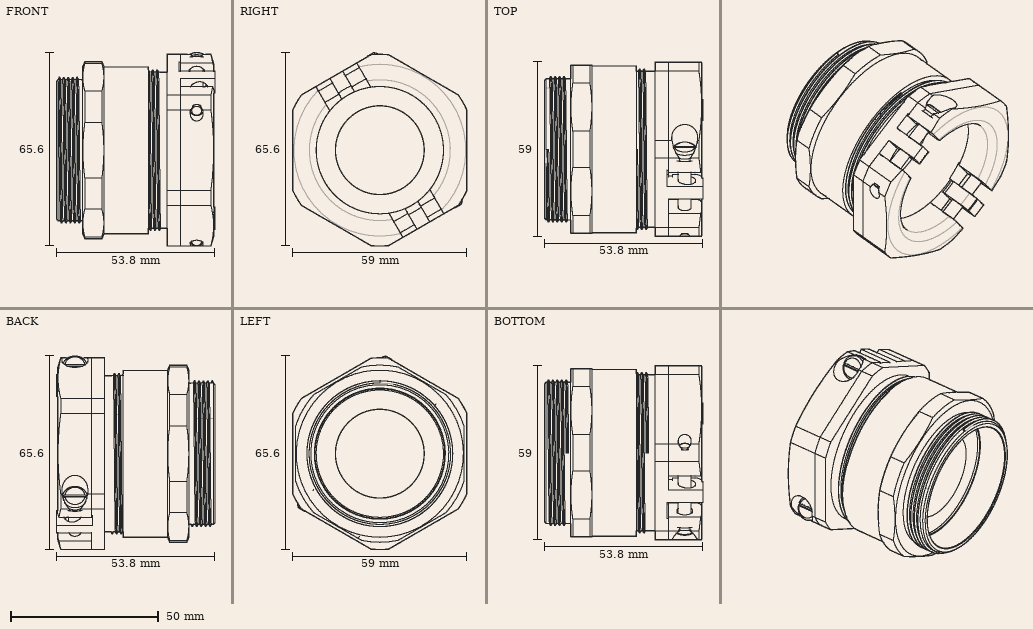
import cadquery as cq
import math


HEX_SIDES = 6

BODY_LENGTH = 31.15
ENTRY_ROOT_D = 47.93
ENTRY_CREST_D = 49.4
ENTRY_CHAMFER = 0.6
ENTRY_THREAD_START = 1.0
ENTRY_THREAD_TURNS = 4.5
ENTRY_BORE_D = 44
ENTRY_BORE_CHAMFER = 0.2
ENTRY_BORE_DEPTH = 10.4
HEX_START = 8.85
HEX_END = 16.15
HEX_FLATS = 57
HEX_CORNER_D = 60
HEX_CHAMFER = 0.75
SLEEVE_D = 56.6

SEAL_BORE_D = 30
SEAL_D = 43.13
SEAL_START = 11.2
SEAL_END = 25.3

SPIGOT_D = 52.96
SPIGOT_START = 21
NUT_CREST_D = 54.4
NUT_THREAD_START = 31.1
NUT_THREAD_TURNS = 2.5
NUT_BORE_D = SEAL_D
NUT_FLATS = 59
NUT_CORNER_D = 65
FLANGE_START = 37.45
FLANGE_END = 41.95
LUG_END = 53.76
LUG_WIDTH = 5
LUG_CLEARANCE_D = 5.45
LUG_CLEARANCE_OFFSET = 1
SLOT_RELIEF_WIDTH = 6.2
SLOT_RELIEF_DEPTH = 0.45
GROOVE_D = 45.4
GROOVE_WIDTH = 1.45

PITCH = 1.5
RIDGE_FOOT_WIDTH = 1.1
RIDGE_CREST_WIDTH = 0.15
RIDGE_EMBED = 0.2
THREAD_START_ANGLE = 60

JAW_END = 53.35
JAW_GAP = 16
JAW_CHAMFER_LENGTH = 1.05
JAW_CHAMFER_DEPTH = 3.4
MOUTH_RADIUS = 2.3
HEAD_RECESS_D = 8.8
RECESS_FLOOR = 12.3
JAW_HOLE_D = 5.4

WASHER_D = 8.35
WASHER_THICKNESS = 1

SCREW_D = 4.4
SCREW_AXIAL = 47.5
SCREW_OFFSET = 25.5
SCREW_TIP = -17.5
SCREW_TIP_CHAMFER = 0.5
HEAD_D = 8.35
HEAD_SEAT = RECESS_FLOOR + WASHER_THICKNESS
HEAD_HEIGHT = 2.3
HEAD_CHAMFER = 0.82
DRIVE_SLOT_WIDTH = 0.8
DRIVE_SLOT_DEPTH = 1.2

SIDES = (1, -1)

CLAMP_ANGLE = math.radians(30)
GLAND_PLANE = cq.Plane(
    origin=(0, 0, 0),
    xDir=(0, math.cos(CLAMP_ANGLE), math.sin(CLAMP_ANGLE)),
    normal=(1, 0, 0),
)


def place(body):
    """The body's solid, laid over from the local frame onto the X axis."""
    return body.val().moved(cq.Location(GLAND_PLANE))


def cylinder(diameter, start, end):
    return cq.Workplane("XY").workplane(offset=start).circle(diameter / 2).extrude(end - start)


def hexagon(flats, start, end):
    """A hexagonal prism of the given width across flats, with a corner on local X."""
    across_corners = flats / math.cos(math.pi / HEX_SIDES)
    return (
        cq.Workplane("XY").workplane(offset=start)
        .polygon(HEX_SIDES, across_corners).extrude(end - start)
    )


def cross_cylinder(diameter, side, axial, start, end):
    """A cylinder along local X on the given side, at the given axial place."""
    return (
        cq.Workplane("YZ").workplane(offset=start)
        .center(side * SCREW_OFFSET, axial).circle(diameter / 2).extrude(end - start)
    )


def thread_ridge(root_d, crest_d, start, turns):
    """One helical ridge, slightly sunk into its core so that the two fuse."""
    foot_r = root_d / 2 - RIDGE_EMBED
    half_foot = RIDGE_FOOT_WIDTH / 2
    half_crest = RIDGE_CREST_WIDTH / 2
    helix = cq.Wire.makeHelix(PITCH, PITCH * turns, foot_r)
    ridge = (
        cq.Workplane("XZ")
        .moveTo(foot_r, -half_foot)
        .lineTo(crest_d / 2, -half_crest)
        .lineTo(crest_d / 2, half_crest)
        .lineTo(foot_r, half_foot)
        .close()
        .sweep(cq.Workplane(obj=helix), isFrenet=True)
    )
    return ridge.rotate((0, 0, 0), (0, 0, 1), THREAD_START_ANGLE).translate((0, 0, start))


def make_body():
    entry = cylinder(ENTRY_ROOT_D, 0, HEX_START).faces("<Z").chamfer(ENTRY_CHAMFER)
    ridge = thread_ridge(ENTRY_ROOT_D, ENTRY_CREST_D, ENTRY_THREAD_START, ENTRY_THREAD_TURNS)
    hex_round = (
        cylinder(HEX_CORNER_D, HEX_START, HEX_END)
        .faces("<Z or >Z").chamfer(HEX_CHAMFER, (HEX_CORNER_D - SLEEVE_D) / 2)
    )
    collar = hexagon(HEX_FLATS, HEX_START, HEX_END).intersect(hex_round)
    mouth_flare = cq.Workplane("XY").add(
        cq.Solid.makeCone(ENTRY_BORE_D / 2 + ENTRY_BORE_CHAMFER, ENTRY_BORE_D / 2, ENTRY_BORE_CHAMFER)
    )
    sleeve = cylinder(SLEEVE_D, HEX_END, BODY_LENGTH)
    return (
        entry.union(collar).union(sleeve).union(ridge)
        .cut(cylinder(ENTRY_BORE_D, 0, ENTRY_BORE_DEPTH))
        .cut(mouth_flare)
        .cut(cylinder(SEAL_D, ENTRY_BORE_DEPTH, SPIGOT_START))
        .cut(cylinder(SPIGOT_D, SPIGOT_START, BODY_LENGTH))
    )


def make_seal():
    return cylinder(SEAL_D, SEAL_START, SEAL_END).cut(cylinder(SEAL_BORE_D, SEAL_START, SEAL_END))


def mouth():
    """The bore through the nut and jaws, flared at its open end."""
    bore_r = NUT_BORE_D / 2
    flare_r = bore_r + MOUTH_RADIUS
    return (
        cq.Workplane("XZ")
        .moveTo(0, SPIGOT_START)
        .lineTo(bore_r, SPIGOT_START)
        .lineTo(bore_r, JAW_END - MOUTH_RADIUS)
        .radiusArc((flare_r, JAW_END), MOUTH_RADIUS)
        .lineTo(flare_r, LUG_END)
        .lineTo(0, LUG_END)
        .close()
        .revolve(360, (0, 0, 0), (0, 1, 0))
    )


def make_nut():
    ridge = thread_ridge(SPIGOT_D, NUT_CREST_D, NUT_THREAD_START, NUT_THREAD_TURNS)
    visible_ridge = ridge.intersect(cylinder(NUT_CORNER_D, BODY_LENGTH, FLANGE_START))
    flange = hexagon(NUT_FLATS, FLANGE_START, FLANGE_END).intersect(
        cylinder(NUT_CORNER_D, FLANGE_START, FLANGE_END)
    )
    relief = cq.Workplane("XY").box(
        SLOT_RELIEF_WIDTH, NUT_CORNER_D, SLOT_RELIEF_DEPTH, centered=(False, True, False)
    ).translate((LUG_WIDTH / 2, 0, FLANGE_END - SLOT_RELIEF_DEPTH))
    lugs = cq.Workplane("XY").box(
        LUG_WIDTH, NUT_FLATS, LUG_END - FLANGE_START, centered=(True, True, False)
    ).translate((0, 0, FLANGE_START))
    nut = (
        cylinder(SPIGOT_D, SPIGOT_START, FLANGE_START)
        .union(flange.cut(relief)).union(lugs).union(visible_ridge).cut(mouth())
        .cut(cylinder(GROOVE_D, FLANGE_END, FLANGE_END + GROOVE_WIDTH))
    )
    half_lug = LUG_WIDTH / 2
    clearance_axial = SCREW_AXIAL + LUG_CLEARANCE_OFFSET
    for side in SIDES:
        nut = nut.cut(cross_cylinder(SCREW_D, side, SCREW_AXIAL, -half_lug, half_lug))
        nut = nut.cut(cross_cylinder(LUG_CLEARANCE_D, side, clearance_axial, -half_lug, half_lug))
    return nut


def jaw_blank(direction):
    """Half of the clamp ring, on the +X or -X side of the lugs."""
    rounded = (
        cylinder(NUT_CORNER_D, FLANGE_END, JAW_END)
        .faces(">Z").chamfer(JAW_CHAMFER_LENGTH, JAW_CHAMFER_DEPTH)
    )
    half = cq.Workplane("XY").box(
        NUT_CORNER_D, NUT_CORNER_D, LUG_END, centered=(True, True, False)
    ).translate((direction * (JAW_GAP + NUT_CORNER_D) / 2, 0, 0))
    return hexagon(NUT_FLATS, FLANGE_END, JAW_END).intersect(rounded).intersect(half).cut(mouth())


def make_head_jaw():
    jaw = jaw_blank(1)
    for side in SIDES:
        jaw = jaw.cut(cross_cylinder(JAW_HOLE_D, side, SCREW_AXIAL, 0, RECESS_FLOOR))
        jaw = jaw.cut(cross_cylinder(HEAD_RECESS_D, side, SCREW_AXIAL, RECESS_FLOOR, NUT_CORNER_D))
    return jaw


def make_tip_jaw():
    jaw = jaw_blank(-1)
    for side in SIDES:
        jaw = jaw.cut(cross_cylinder(SCREW_D, side, SCREW_AXIAL, -NUT_CORNER_D, 0))
    return jaw


def make_washer(side):
    disc = cross_cylinder(WASHER_D, side, SCREW_AXIAL, RECESS_FLOOR, HEAD_SEAT)
    return disc.cut(cross_cylinder(SCREW_D, side, SCREW_AXIAL, RECESS_FLOOR, HEAD_SEAT))


def make_screw(side):
    head_top = HEAD_SEAT + HEAD_HEIGHT
    shank = (
        cross_cylinder(SCREW_D, side, SCREW_AXIAL, SCREW_TIP, HEAD_SEAT)
        .faces("<X").chamfer(SCREW_TIP_CHAMFER)
    )
    head = (
        cross_cylinder(HEAD_D, side, SCREW_AXIAL, HEAD_SEAT, head_top)
        .faces(">X").chamfer(HEAD_CHAMFER)
    )
    drive_slot = cq.Workplane("XY").box(
        DRIVE_SLOT_DEPTH, DRIVE_SLOT_WIDTH, HEAD_D
    ).translate((head_top - DRIVE_SLOT_DEPTH / 2, side * SCREW_OFFSET, SCREW_AXIAL))
    return shank.union(head).cut(drive_slot)


gland_body = place(make_body())
seal = place(make_seal())
pressure_nut = place(make_nut())
head_jaw = place(make_head_jaw())
tip_jaw = place(make_tip_jaw())
washers = [place(make_washer(side)) for side in SIDES]
screws = [place(make_screw(side)) for side in SIDES]

result = cq.Compound.makeCompound(
    [gland_body, seal, pressure_nut, head_jaw, tip_jaw, *washers, *screws]
)